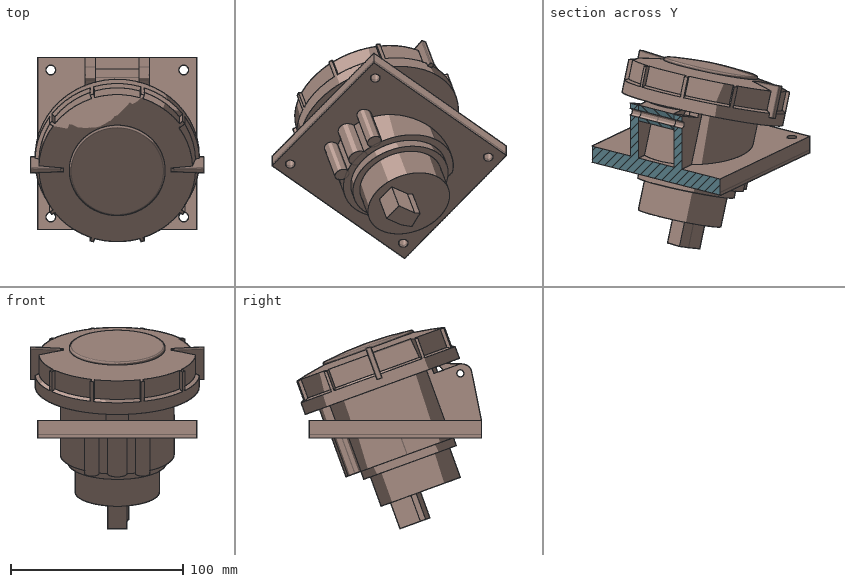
import cadquery as cq
import math


LEAN_ANGLE = 20.0
AXIS_Y = -0.4

FLANGE_X = 92.4
FLANGE_Y = 100.0
FLANGE_UPPER_HEIGHT = 8.3
FLANGE_BAND_HEIGHT = 2.0
FLANGE_HEIGHT = FLANGE_UPPER_HEIGHT + FLANGE_BAND_HEIGHT
SCREW_SPACING_X = 77.1
SCREW_SPACING_Y = 85.3
SCREW_DIAMETER = 5.5

SEAT_HEIGHT = 20.9
BARREL_RADIUS = 33.1
BARREL_BOTTOM = -21.1
COLLAR_RADIUS = 28.6
COLLAR_BOTTOM = -26.0
STUB_RADIUS = 24.5
STUB_BOTTOM = -44.2

POST_BOTTOM = -60.2
POST_WIDTH = 11.2
POST_FRONT = -18.7
POST_LEFT_BEND = -6.9
POST_RIGHT_BEND = -6.1
POST_REAR_LEFT = (-3.7, -0.1)
POST_REAR_RIGHT = (6.8, -2.8)

RIB_ROW_Y = -32.2
UPPER_RIB_RADIUS = 6.7
CENTRE_RIB_RADIUS = 5.6
SIDE_RIB_RADIUS = 4.2
SIDE_RIB_X = 14.7

HINGE_Y = 37.7
HINGE_Z = 27.2
HINGE_HOLE_DIAMETER = 4.0
LUG_INNER_X = 12.5
LUG_OUTER_X = 18.7
LUG_CORNER_RADIUS = 5.7
LUG_TOP_HEIGHT = 17.8
LUG_STEP_Y = 30.7
LUG_BACK_LEAN = 11.3
KNUCKLE_RADIUS = 5.0
KNUCKLE_Y = 38.2
KNUCKLE_Z = 27.8

SKIRT_RADIUS = 47.7
SKIRT_TOP = 28.2
RING_RADIUS = 45.5
RING_BOTTOM = 29.4
RING_TOP = 40.9
DOME_RADIUS = 198.6
DISC_RADIUS = 27.8
DISC_HEIGHT = 1.5
DISC_EDGE_RADIUS = 1.2

GRIP_COUNT = 10
GRIP_WIDTH = 2.1
DRAFTED_TOP_RADIUS = 43.7
WING_TIP = 50.41
WING_INNER = 30.6
WING_CREST = 32.8
WING_BOTTOM = 25.7
WING_CREST_HEIGHT = 44.2
WING_TOP = 45.0
WING_FOOT_HEIGHT = 43.6
WING_INNER_WIDTH = 2.3
WING_OUTER_WIDTH = 3.3
WING_EDGE_RADIUS = 0.5

ARM_ROOT_RADIUS = 41.7
ARM_ROOT_FRONT = 34.8
ARM_ROOT_DEPTH = 2.1
ARM_UNDERSIDE = (26.8, 30.3)
ARM_THROAT = (28.3, 27.8)


def lean(body):
    """Move an upright body onto the leaning socket axis."""
    return body.rotate((0, 0, 0), (1, 0, 0), LEAN_ANGLE).translate((0, AXIS_Y, 0))


def leaned_point(behind, height):
    """Y and Z of a point given by its distance behind the socket axis and its height along it."""
    angle = math.radians(LEAN_ANGLE)
    y = AXIS_Y + behind * math.cos(angle) - height * math.sin(angle)
    z = behind * math.sin(angle) + height * math.cos(angle)
    return (y, z)


def upright_cylinder(radius, bottom, top, x=0.0, y=0.0):
    return cq.Workplane("XY", origin=(x, y, bottom)).circle(radius).extrude(top - bottom)


def hinge_cylinder(radius, half_length, y=HINGE_Y, z=HINGE_Z):
    return (
        cq.Workplane("YZ")
        .center(y, z)
        .circle(radius)
        .extrude(half_length, both=True)
    )



def make_flange_layer(top, height):
    layer = cq.Workplane("XY", origin=(0, 0, top - height)).rect(FLANGE_X, FLANGE_Y).extrude(height)
    screw_holes = (
        cq.Workplane("XY", origin=(0, 0, top - height))
        .rect(SCREW_SPACING_X, SCREW_SPACING_Y, forConstruction=True)
        .vertices()
        .circle(SCREW_DIAMETER / 2)
        .extrude(height)
    )
    return layer.cut(screw_holes)


def make_barrel():
    barrel = upright_cylinder(BARREL_RADIUS, BARREL_BOTTOM, SEAT_HEIGHT)
    collar = upright_cylinder(COLLAR_RADIUS, COLLAR_BOTTOM, BARREL_BOTTOM)
    stub = upright_cylinder(STUB_RADIUS, STUB_BOTTOM, COLLAR_BOTTOM)
    return lean(barrel.union(collar).union(stub))


def make_post():
    half_width = POST_WIDTH / 2
    outline = [
        (-half_width, POST_FRONT),
        (half_width, POST_FRONT),
        (half_width, POST_RIGHT_BEND),
        POST_REAR_RIGHT,
        POST_REAR_LEFT,
        (-half_width, POST_LEFT_BEND),
    ]
    post = cq.Workplane("XY", origin=(0, 0, POST_BOTTOM)).polyline(outline).close()
    return lean(post.extrude(STUB_BOTTOM - POST_BOTTOM))


def make_upper_rib():
    rib = lean(upright_cylinder(UPPER_RIB_RADIUS, BARREL_BOTTOM, SEAT_HEIGHT, y=RIB_ROW_Y))
    below_flange_top = cq.Workplane("XY").rect(2 * FLANGE_X, 2 * FLANGE_Y).extrude(-FLANGE_Y)
    return rib.cut(below_flange_top)


def make_lower_ribs():
    ribs = upright_cylinder(CENTRE_RIB_RADIUS, BARREL_BOTTOM, SEAT_HEIGHT, y=RIB_ROW_Y)
    side_rib = upright_cylinder(SIDE_RIB_RADIUS, BARREL_BOTTOM, SEAT_HEIGHT, y=RIB_ROW_Y)
    for x in (-SIDE_RIB_X, SIDE_RIB_X):
        ribs = ribs.union(side_rib.translate((x, 0, 0)))
    ribs = lean(ribs)
    above_flange_middle = (
        cq.Workplane("XY", origin=(0, 0, -FLANGE_HEIGHT / 2))
        .rect(2 * FLANGE_X, 2 * FLANGE_Y)
        .extrude(FLANGE_Y)
    )
    return ribs.cut(above_flange_middle)


def make_lugs():
    """Two upright plates that carry the lid's hinge behind the barrel."""
    back_y = FLANGE_Y / 2
    back_slope = math.tan(math.radians(LEAN_ANGLE))
    step_low = leaned_point(LUG_STEP_Y, LUG_TOP_HEIGHT)
    back_lean = math.tan(math.radians(LUG_BACK_LEAN))
    rise = step_low[1] + back_slope * (back_y - step_low[0])
    corner_z = rise / (1 + back_slope * back_lean)
    corner = (back_y - back_lean * corner_z, corner_z)
    outline = [
        (back_y, 0),
        corner,
        step_low,
        leaned_point(LUG_STEP_Y, SEAT_HEIGHT),
        leaned_point(0, SEAT_HEIGHT),
        (AXIS_Y, 0),
    ]
    thickness = LUG_OUTER_X - LUG_INNER_X
    plate = cq.Workplane("YZ").polyline(outline).close().extrude(thickness)
    hinge_corner = cq.selectors.NearestToPointSelector((thickness / 2, *corner))
    plate = plate.edges(hinge_corner).fillet(LUG_CORNER_RADIUS)
    lugs = plate.translate((LUG_INNER_X, 0, 0)).union(plate.translate((-LUG_OUTER_X, 0, 0)))
    return lugs.cut(hinge_cylinder(HINGE_HOLE_DIAMETER / 2, LUG_OUTER_X))


def make_housing():
    housing = make_barrel()
    housing = housing.union(make_flange_layer(0, FLANGE_UPPER_HEIGHT))
    for feature in (make_post(), make_upper_rib(), make_lugs()):
        housing = housing.union(feature)
    band = make_flange_layer(-FLANGE_UPPER_HEIGHT, FLANGE_BAND_HEIGHT)
    housing = housing.union(band, clean=False)
    return housing.union(make_lower_ribs(), clean=False)



def dome_drop(radius, sphere_radius):
    """How far a sphere's surface lies below its top at a given radius."""
    return sphere_radius - math.sqrt(sphere_radius**2 - radius**2)


DOME_TOP = RING_TOP + dome_drop(RING_RADIUS, DOME_RADIUS)
DISC_SPHERE_RADIUS = DOME_RADIUS + DISC_HEIGHT
DISC_TOP = DOME_TOP + DISC_HEIGHT


def domed_cylinder(radius, bottom, top, sphere_radius):
    """Upright cylinder closed by a shallow spherical top."""
    edge_top = top - dome_drop(radius, sphere_radius)
    middle = (radius / 2, top - dome_drop(radius / 2, sphere_radius))
    return (
        cq.Workplane("XZ")
        .moveTo(0, bottom)
        .lineTo(radius, bottom)
        .lineTo(radius, edge_top)
        .threePointArc(middle, (0, top))
        .close()
        .revolve(360, (0, 0, 0), (0, 1, 0))
    )


def make_cap():
    """Solid domed drum with a raised disc; the grip pockets are cut into its side later."""
    drum = domed_cylinder(SKIRT_RADIUS, SEAT_HEIGHT, DOME_TOP, DOME_RADIUS)
    disc = domed_cylinder(DISC_RADIUS, SKIRT_TOP, DISC_TOP, DISC_SPHERE_RADIUS)
    rim = cq.selectors.RadiusNthSelector(0)
    disc = disc.edges(rim).edges(">Z").fillet(DISC_EDGE_RADIUS)
    return drum.union(disc)


def make_grip_pocket(top_radius):
    """Recess between two grip ribs, centred on the +X side, with a sloping floor."""
    outer_radius = 2 * SKIRT_RADIUS - RING_RADIUS
    outer_bottom = 2 * SKIRT_TOP - RING_BOTTOM
    sweep = 360 / GRIP_COUNT - math.degrees(GRIP_WIDTH / SKIRT_RADIUS)
    pocket = (
        cq.Workplane("XZ")
        .polyline([
            (RING_RADIUS, RING_BOTTOM),
            (top_radius, RING_TOP),
            (top_radius, DISC_TOP),
            (outer_radius, DISC_TOP),
            (outer_radius, outer_bottom),
        ])
        .close()
        .revolve(sweep, (0, 0, 0), (0, 1, 0))
    )
    return pocket.rotate((0, 0, 0), (0, 0, 1), -sweep / 2)


def make_wing():
    """Finger wing on the +X side, widening outwards and rising above the dome."""
    profile = [
        (WING_INNER, WING_BOTTOM),
        (WING_TIP, WING_BOTTOM),
        (WING_TIP, WING_TOP),
        (WING_CREST, WING_CREST_HEIGHT),
        (WING_INNER, WING_FOOT_HEIGHT),
    ]
    plan = [
        (WING_INNER, -WING_INNER_WIDTH / 2),
        (WING_TIP, -WING_OUTER_WIDTH / 2),
        (WING_TIP, WING_OUTER_WIDTH / 2),
        (WING_INNER, WING_INNER_WIDTH / 2),
    ]
    side_plate = cq.Workplane("XZ").polyline(profile).close().extrude(WING_OUTER_WIDTH, both=True)
    wedge = cq.Workplane("XY").polyline(plan).close().extrude(2 * WING_TOP)
    wing = side_plate.intersect(wedge)
    return wing.faces(">X or >Z").edges("not <Z").fillet(WING_EDGE_RADIUS)


def make_arm():
    """Hinge arm from the underside of the cap back to the hinge knuckle."""
    knuckle = hinge_cylinder(KNUCKLE_RADIUS, LUG_INNER_X, KNUCKLE_Y, KNUCKLE_Z)
    arm_top = KNUCKLE_Z + KNUCKLE_RADIUS
    front = leaned_point(ARM_ROOT_FRONT, SEAT_HEIGHT)
    angle = math.radians(LEAN_ANGLE)
    back_distance = (arm_top - SEAT_HEIGHT * math.cos(angle)) / math.sin(angle)
    back = leaned_point(back_distance, SEAT_HEIGHT)
    link = (
        cq.Workplane("YZ")
        .moveTo(KNUCKLE_Y, arm_top)
        .lineTo(*back)
        .lineTo(*front)
        .threePointArc(ARM_UNDERSIDE, ARM_THROAT)
        .lineTo(KNUCKLE_Y, KNUCKLE_Z - KNUCKLE_RADIUS)
        .close()
        .extrude(LUG_INNER_X, both=True)
    )
    root_bottom = SEAT_HEIGHT - ARM_ROOT_DEPTH
    root = upright_cylinder(ARM_ROOT_RADIUS, root_bottom, SEAT_HEIGHT)
    root = root.intersect(
        cq.Workplane("XY")
        .box(2 * LUG_INNER_X, 4 * ARM_ROOT_DEPTH, 2 * SEAT_HEIGHT)
        .translate((0, ARM_ROOT_RADIUS, SEAT_HEIGHT))
    )
    arm = knuckle.union(link).union(lean(root))
    return arm.cut(hinge_cylinder(HINGE_HOLE_DIAMETER / 2, LUG_INNER_X))


def make_lid():
    lid = make_cap()
    plain_pocket = make_grip_pocket(RING_RADIUS)
    drafted_pocket = make_grip_pocket(DRAFTED_TOP_RADIUS)
    pitch = 360 / GRIP_COUNT
    for index in range(GRIP_COUNT):
        pocket = drafted_pocket if index == 0 else plain_pocket
        lid = lid.cut(pocket.rotate((0, 0, 0), (0, 0, 1), (index + 0.5) * pitch))
    wing = make_wing()
    for angle in (0, 180):
        lid = lid.union(wing.rotate((0, 0, 0), (0, 0, 1), angle))
    return lean(lid).union(make_arm())


housing = make_housing()
lid = make_lid()

result = cq.Compound.makeCompound([housing.solids().val(), lid.solids().val()])